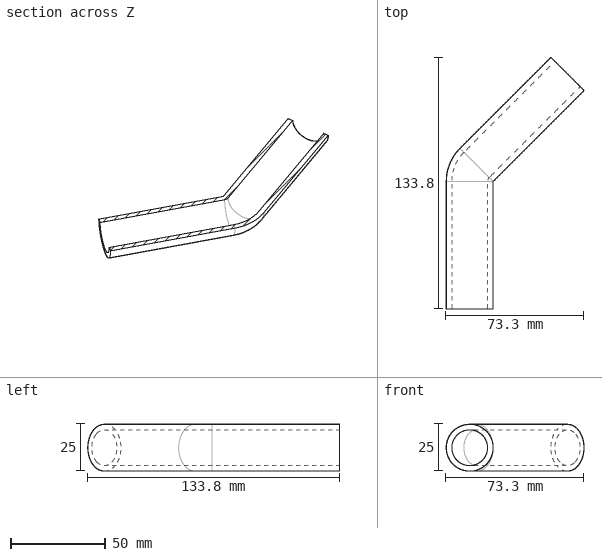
import cadquery as cq
import math

outer_diameter = 25.0
bore_diameter = 19.0
bend_angle = 45.0
bend_radius = outer_diameter / 2
first_leg_length = 67.82
second_leg_length = 68.36

angle = math.radians(bend_angle)
bend_end = (bend_radius * (1 - math.cos(angle)), bend_radius * math.sin(angle), 0)
second_direction = (math.sin(angle), math.cos(angle), 0)


def straight_rod(diameter, start, direction, length):
    """Solid cylinder starting at a point on the centreline."""
    return cq.Workplane(
        cq.Solid.makeCylinder(diameter / 2, length, cq.Vector(*start), cq.Vector(*direction))
    )


def bend_rod(diameter):
    """Solid round section swung about the vertical bend axis."""
    axis_start = (bend_radius, 0, 0)
    axis_end = (bend_radius, -1, 0)
    return (
        cq.Workplane("XZ")
        .circle(diameter / 2)
        .revolve(bend_angle, axis_start, axis_end)
    )


def bent_rod(diameter):
    """Two straight legs joined by the bend."""
    first_leg = straight_rod(diameter, (0, -first_leg_length, 0), (0, 1, 0), first_leg_length)
    second_leg = straight_rod(diameter, bend_end, second_direction, second_leg_length)
    return first_leg.union(bend_rod(diameter)).union(second_leg)


result = bent_rod(outer_diameter).cut(bent_rod(bore_diameter))